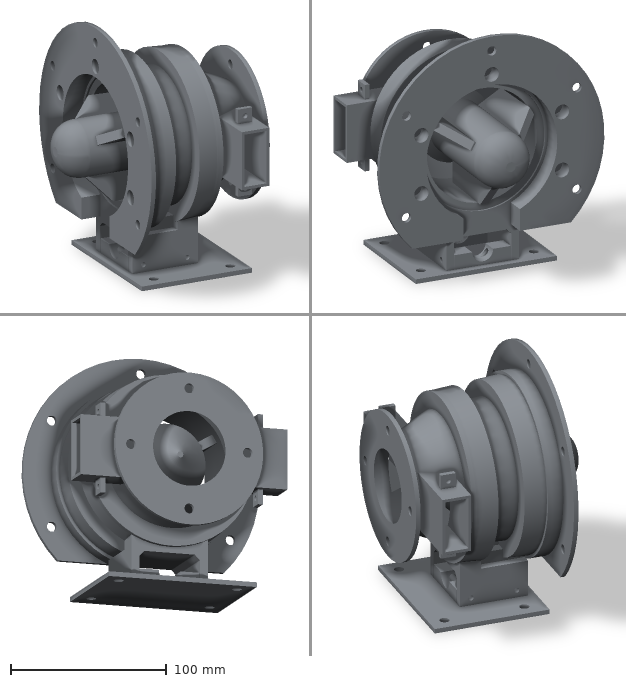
import cadquery as cq
import math

NOSE_FRONT_Y = -28.8
HOUSING_FRONT_Y = 13.7
NECK_FRONT_Y = 28.7
NECK_REAR_Y = 46.1
HOUSING_REAR_Y = 60.6
DUCT_REAR_Y = 100.1

PLATE_THICKNESS = 3.1
SCREW_HOLE_DIAMETER = 3.5
MOUNT_HOLE_DIAMETER = 6.5
SADDLE_TOP_Z = -56.8
FLANGE_RADIUS = 79.9
TOTAL_HEIGHT = 164.7
BOTTOM_Z = FLANGE_RADIUS - TOTAL_HEIGHT
NECK_BLOCK_WIDTH = 39.9

FLANGE_RING_RADIUS = 61.1
FLANGE_BORE_RADIUS = 46.5
FLANGE_HOLE_CIRCLE_RADIUS = 69.8
FLANGE_HOLE_ANGLES = [-30, 30, 90, 150, 210]
COUNTERBORE_DIAMETER = 10.0
COUNTERBORE_DEPTH = 10.7
COUNTERBORE_TOP_Z = 53.7
COUNTERBORE_SIDE_X = 49.9
COUNTERBORE_SIDE_Z = 20.0

COLLAR_FRONT_RADIUS = 59.0
COLLAR_REAR_RADIUS = 56.2
COLLAR_RIM = 1.5
NECK_FRONT_RADIUS = 47.1
NECK_REAR_RADIUS = 46.1
BORE_FRONT_RADIUS = 39.0
BORE_REAR_RADIUS = 38.0
RECESS_DIAMETER = 88.6
RECESS_DEPTH = 1.5
NECK_BLOCK_TOP_Z = -48.6
NECK_WEB_WIDTH = 25.7

DUCT_FLANGE_RADIUS = COLLAR_REAR_RADIUS
END_FLANGE_DIAMETER = 100.0
CONE_FRONT_RADIUS = 44.5
CONE_REAR_RADIUS = 28.7
CONE_WALL = 2.6
END_FLANGE_HOLE_RADIUS = 39.5
END_FLANGE_HOLE_ANGLES = [0, 90, 180, 270]
INLET_TIP_X = 69.8
INLET_FRONT_Y = 70.0
INLET_DEPTH = 19.8
INLET_HEIGHT = 39.5
INLET_WALL = 2.0
TAB_X = 53.2
TAB_THICKNESS = 3.3
TAB_WIDTH = 10.2
TAB_HEIGHT = 9.9

NOSE_DIAMETER = 38.0
NOSE_ROUNDING = 15.6
FLARE_START_Y = 52.7
FLARE_END_Y = 56.5
FLARE_RADIUS = 25.7
TAIL_TIP_Y = 82.2
TAIL_TIP_RADIUS = 2.0
FIN_FRONT_Y = -7.7
FIN_THICKNESS = 6.1
FIN_FRONT_RADIUS = 20.1
FIN_ANGLES = [30, 150, 270]

STAND_WIDTH = 51.5
CHANNEL_WIDTH = 40.8
CHANNEL_TOP_Z = -60.1
CHANNEL_CHAMFER = 3.5
STAND_HOLE_Z = -76.5
STAND_HOLE_INSET = 7.7

FOOT_WIDTH = END_FLANGE_DIAMETER
FOOT_FRONT_Y = 8.2
FOOT_LENGTH = 79.0
FOOT_HOLE_X = 40.0
FOOT_HOLE_FRONT_Y = 21.7
FOOT_HOLE_REAR_Y = 76.7
BLOCK_WIDTH = NECK_BLOCK_WIDTH
BLOCK_DEPTH = 11.5
BLOCK_TOP_Z = -71.8
BLOCK_GROOVE_RADIUS = 7.4
BLOCK_HOLE_DIAMETER = 5.0

FAR = 329.4


def box(x_range, y_range, z_range):
    """Box between two limits along each axis."""
    sizes = [high - low for low, high in (x_range, y_range, z_range)]
    return cq.Workplane("XY").box(*sizes, centered=False).translate((x_range[0], y_range[0], z_range[0]))


def centred_box(width, y_range, z_range):
    """Box that is centred on X = 0."""
    return box((-width / 2, width / 2), y_range, z_range)


def cylinder(radius, y_start, y_end, x=0.0, z=0.0):
    """Cylinder along Y."""
    solid = cq.Solid.makeCylinder(radius, y_end - y_start, cq.Vector(x, y_start, z), cq.Vector(0, 1, 0))
    return cq.Workplane(obj=solid)


def cross_cylinder(radius, length, y, z, x=0.0):
    """Cylinder along X, centred on x."""
    start = cq.Vector(x - length / 2, y, z)
    return cq.Workplane(obj=cq.Solid.makeCylinder(radius, length, start, cq.Vector(1, 0, 0)))


def turned(points):
    """Solid of revolution about the Y axis from (radius, y) points."""
    return cq.Workplane("XY").polyline(points).close().revolve(360, (0, 0, 0), (0, 1, 0))


def above(z, solid):
    """The part of a solid that lies above a height."""
    return solid.intersect(box((-FAR, FAR), (-FAR, FAR), (z, FAR)))


def bore_space():
    """Tapered space inside the housing, continued forward as a cylinder."""
    return turned([
        (0, NOSE_FRONT_Y),
        (BORE_FRONT_RADIUS, NOSE_FRONT_Y),
        (BORE_FRONT_RADIUS, HOUSING_FRONT_Y),
        (BORE_REAR_RADIUS, HOUSING_REAR_Y),
        (0, HOUSING_REAR_Y),
    ])


def collar_shape():
    """Solid tapered drum with a short cylindrical rim at each end."""
    return turned([
        (0, HOUSING_FRONT_Y),
        (COLLAR_FRONT_RADIUS, HOUSING_FRONT_Y),
        (COLLAR_FRONT_RADIUS, HOUSING_FRONT_Y + COLLAR_RIM),
        (COLLAR_REAR_RADIUS, HOUSING_REAR_Y - COLLAR_RIM),
        (COLLAR_REAR_RADIUS, HOUSING_REAR_Y),
        (0, HOUSING_REAR_Y),
    ])


def make_front_flange():
    """Flat-bottomed plate with a ring behind it, open at the bottom through a slot."""
    flange = cylinder(FLANGE_RADIUS, 0, PLATE_THICKNESS)
    flange = flange.union(cylinder(FLANGE_RING_RADIUS, 0, HOUSING_FRONT_Y))
    flange = above(SADDLE_TOP_Z, flange)
    flange = flange.cut(cylinder(FLANGE_BORE_RADIUS, 0, HOUSING_FRONT_Y))
    slot = centred_box(NECK_BLOCK_WIDTH, (0, HOUSING_FRONT_Y), (SADDLE_TOP_Z, 0))
    flange = flange.cut(slot)
    for angle in FLANGE_HOLE_ANGLES:
        x = FLANGE_HOLE_CIRCLE_RADIUS * math.cos(math.radians(angle))
        z = FLANGE_HOLE_CIRCLE_RADIUS * math.sin(math.radians(angle))
        flange = flange.cut(cylinder(MOUNT_HOLE_DIAMETER / 2, 0, PLATE_THICKNESS, x, z))
    screw_places = [(0, COUNTERBORE_TOP_Z)]
    for x in (-COUNTERBORE_SIDE_X, COUNTERBORE_SIDE_X):
        for z in (-COUNTERBORE_SIDE_Z, COUNTERBORE_SIDE_Z):
            screw_places.append((x, z))
    for x, z in screw_places:
        flange = flange.cut(cylinder(COUNTERBORE_DIAMETER / 2, 0, COUNTERBORE_DEPTH, x, z))
        flange = flange.cut(cylinder(SCREW_HOLE_DIAMETER / 2, 0, HOUSING_FRONT_Y, x, z))
    return flange


def make_housing():
    """Tapered tube with two collars and a block that rests on the stand."""
    neck_groove = cylinder(FAR, NECK_FRONT_Y, NECK_REAR_Y).cut(turned([
        (0, NECK_FRONT_Y),
        (NECK_FRONT_RADIUS, NECK_FRONT_Y),
        (NECK_REAR_RADIUS, NECK_REAR_Y),
        (0, NECK_REAR_Y),
    ]))
    housing = collar_shape().cut(neck_groove)
    block_y = (HOUSING_FRONT_Y, NECK_REAR_Y)
    front_y = (HOUSING_FRONT_Y, NECK_FRONT_Y)
    housing = housing.union(centred_box(NECK_BLOCK_WIDTH, block_y, (SADDLE_TOP_Z, NECK_BLOCK_TOP_Z)))
    housing = housing.union(centred_box(NECK_WEB_WIDTH, block_y, (NECK_BLOCK_TOP_Z, -BORE_FRONT_RADIUS)))
    cut_off = box((-FAR, FAR), front_y, (-FAR, SADDLE_TOP_Z))
    housing = housing.cut(cut_off)
    housing = housing.cut(bore_space())
    return housing.cut(cylinder(RECESS_DIAMETER / 2, HOUSING_FRONT_Y, HOUSING_FRONT_Y + RECESS_DEPTH))


def make_rear_duct():
    """Cone between two flanges, with a rectangular inlet on each side."""
    flange_rear_y = HOUSING_REAR_Y + PLATE_THICKNESS
    end_front_y = DUCT_REAR_Y - PLATE_THICKNESS
    slope = (CONE_FRONT_RADIUS - CONE_REAR_RADIUS) / (end_front_y - flange_rear_y)
    duct = turned([
        (0, HOUSING_REAR_Y),
        (DUCT_FLANGE_RADIUS, HOUSING_REAR_Y),
        (DUCT_FLANGE_RADIUS, flange_rear_y),
        (CONE_FRONT_RADIUS, flange_rear_y),
        (CONE_REAR_RADIUS, end_front_y),
        (END_FLANGE_DIAMETER / 2, end_front_y),
        (END_FLANGE_DIAMETER / 2, DUCT_REAR_Y),
        (0, DUCT_REAR_Y),
    ])
    cavity = turned([
        (0, HOUSING_REAR_Y),
        (CONE_FRONT_RADIUS - CONE_WALL + slope * PLATE_THICKNESS, HOUSING_REAR_Y),
        (CONE_REAR_RADIUS - CONE_WALL - slope * PLATE_THICKNESS, DUCT_REAR_Y),
        (0, DUCT_REAR_Y),
    ])
    inlet_rear_y = INLET_FRONT_Y + INLET_DEPTH
    half_height = INLET_HEIGHT / 2
    duct = duct.union(
        centred_box(2 * INLET_TIP_X, (INLET_FRONT_Y, inlet_rear_y), (-half_height, half_height))
    )
    tab_centre_y = INLET_FRONT_Y + INLET_DEPTH / 2
    tab_y = (tab_centre_y - TAB_WIDTH / 2, tab_centre_y + TAB_WIDTH / 2)
    tab_half_span = half_height + TAB_HEIGHT
    for x in (-TAB_X, TAB_X):
        tab_x = (x - TAB_THICKNESS / 2, x + TAB_THICKNESS / 2)
        duct = duct.union(box(tab_x, tab_y, (-tab_half_span, tab_half_span)))
        for z in (-half_height - TAB_HEIGHT / 2, half_height + TAB_HEIGHT / 2):
            duct = duct.cut(cross_cylinder(SCREW_HOLE_DIAMETER / 2, TAB_THICKNESS, tab_centre_y, z, x))
    inner_y = (INLET_FRONT_Y + INLET_WALL, inlet_rear_y - INLET_WALL)
    inner_half_height = half_height - INLET_WALL
    duct = duct.cut(centred_box(2 * INLET_TIP_X, inner_y, (-inner_half_height, inner_half_height)))
    duct = duct.cut(cavity)
    for angle in END_FLANGE_HOLE_ANGLES:
        x = END_FLANGE_HOLE_RADIUS * math.cos(math.radians(angle))
        z = END_FLANGE_HOLE_RADIUS * math.sin(math.radians(angle))
        duct = duct.cut(cylinder(MOUNT_HOLE_DIAMETER / 2, end_front_y, DUCT_REAR_Y, x, z))
    return duct


def make_centre_body():
    """Streamlined core held in the bore by three fins."""
    nose_radius = NOSE_DIAMETER / 2
    shoulder_y = NOSE_FRONT_Y + NOSE_ROUNDING
    flat_radius = nose_radius - NOSE_ROUNDING
    arc_part = NOSE_ROUNDING * math.sqrt(0.5)
    body = (
        cq.Workplane("XY")
        .moveTo(0, NOSE_FRONT_Y)
        .lineTo(flat_radius, NOSE_FRONT_Y)
        .threePointArc((flat_radius + arc_part, shoulder_y - arc_part), (nose_radius, shoulder_y))
        .lineTo(nose_radius, FLARE_START_Y)
        .lineTo(FLARE_RADIUS, FLARE_END_Y)
        .lineTo(TAIL_TIP_RADIUS, TAIL_TIP_Y)
        .lineTo(0, TAIL_TIP_Y)
        .close()
        .revolve(360, (0, 0, 0), (0, 1, 0))
    )
    reach = FLANGE_BORE_RADIUS
    fin = (
        cq.Workplane("XY")
        .moveTo(0, FIN_FRONT_Y)
        .lineTo(FIN_FRONT_RADIUS, FIN_FRONT_Y)
        .lineTo(reach, FIN_FRONT_Y + reach - FIN_FRONT_RADIUS)
        .lineTo(reach, FLARE_START_Y)
        .lineTo(0, FLARE_START_Y)
        .close()
        .extrude(FIN_THICKNESS / 2, both=True)
        .intersect(bore_space())
    )
    for angle in FIN_ANGLES:
        body = body.union(fin.rotate((0, 0, 0), (0, 1, 0), -angle))
    return body


def stand_hole_places():
    """Y places of the screw holes that join the stand and the foot."""
    return (HOUSING_FRONT_Y + STAND_HOLE_INSET, HOUSING_REAR_Y - STAND_HOLE_INSET)


def make_stand():
    """Channel-shaped pedestal with a saddle under the rear collar."""
    floor_z = BOTTOM_Z + PLATE_THICKNESS
    full_y = (HOUSING_FRONT_Y, HOUSING_REAR_Y)
    stand = centred_box(STAND_WIDTH, full_y, (floor_z, SADDLE_TOP_Z))
    saddle = centred_box(STAND_WIDTH, (NECK_REAR_Y, HOUSING_REAR_Y), (SADDLE_TOP_Z, -BORE_REAR_RADIUS))
    stand = stand.union(saddle).cut(collar_shape().intersect(cylinder(FAR, NECK_REAR_Y, HOUSING_REAR_Y)))
    channel = centred_box(CHANNEL_WIDTH, full_y, (floor_z, CHANNEL_TOP_Z))
    channel = channel.edges("|Y and >Z").chamfer(CHANNEL_CHAMFER)
    stand = stand.cut(channel)
    for y in stand_hole_places():
        stand = stand.cut(cross_cylinder(SCREW_HOLE_DIAMETER / 2, STAND_WIDTH, y, STAND_HOLE_Z))
    return stand


def make_foot():
    """Base plate with two blocks that are screwed into the channel of the stand."""
    top_z = BOTTOM_Z + PLATE_THICKNESS
    foot = centred_box(FOOT_WIDTH, (FOOT_FRONT_Y, FOOT_FRONT_Y + FOOT_LENGTH), (BOTTOM_Z, top_z))
    for y in (HOUSING_FRONT_Y, HOUSING_REAR_Y - BLOCK_DEPTH):
        block = centred_box(BLOCK_WIDTH, (y, y + BLOCK_DEPTH), (top_z, BLOCK_TOP_Z))
        foot = foot.union(block.cut(cylinder(BLOCK_GROOVE_RADIUS, y, y + BLOCK_DEPTH, 0, BLOCK_TOP_Z)))
    for y in stand_hole_places():
        foot = foot.cut(cross_cylinder(BLOCK_HOLE_DIAMETER / 2, BLOCK_WIDTH, y, STAND_HOLE_Z))
    hole_places = []
    for x in (-FOOT_HOLE_X, FOOT_HOLE_X):
        for y in (FOOT_HOLE_FRONT_Y, FOOT_HOLE_REAR_Y):
            hole_places.append((x, y))
    holes = cq.Workplane("XY", origin=(0, 0, BOTTOM_Z)).pushPoints(hole_places)
    return foot.cut(holes.circle(MOUNT_HOLE_DIAMETER / 2).extrude(PLATE_THICKNESS))


front_flange = make_front_flange()
housing = make_housing()
rear_duct = make_rear_duct()
centre_body = make_centre_body()
stand = make_stand()
foot = make_foot()

result = cq.Compound.makeCompound([
    front_flange.solids().val(),
    housing.solids().val(),
    rear_duct.solids().val(),
    centre_body.solids().val(),
    stand.solids().val(),
    foot.solids().val(),
])